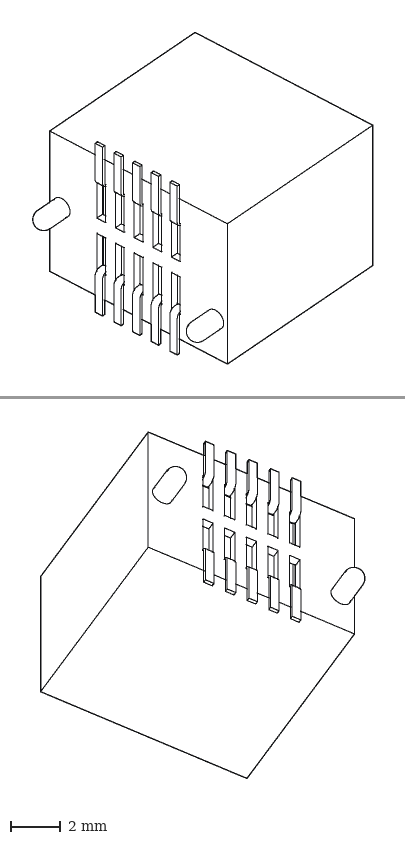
import cadquery as cq
import math

overall_depth = 10.44
overall_height = 8.48
housing_width = 9.54
housing_depth = 8.9
housing_height = 7.05

peg_radius = 0.45
peg_length = overall_depth - housing_depth
peg_spacing = 8.25
peg_drop = 1.58
peg_centres = [(-peg_spacing / 2, 0), (peg_spacing / 2, -peg_drop)]

contacts_per_row = 5
contact_pitch = 1.0
contact_width = 0.4
contact_thickness = 0.15
contact_bend_radius = 0.3
contact_tip_height = overall_height / 2
contact_bend_start = 2.43

slot_width = 0.47
slot_depth = 0.35
slot_inner_height = 0.39
slot_outer_height = contact_bend_start - contact_bend_radius + contact_thickness

recess_width = (contacts_per_row - 1) * contact_pitch + contact_width
recess_depth = 0.15

contact_positions = [
    (index - (contacts_per_row - 1) / 2) * contact_pitch for index in range(contacts_per_row)
]


def box_between(width, y_start, y_end, z_start, z_end):
    """Box centred on X that spans the given Y and Z ranges."""
    return (
        cq.Workplane("XY")
        .box(width, y_end - y_start, z_end - z_start, centered=(True, False, False))
        .translate((0, y_start, z_start))
    )


def make_contact():
    """Upper contact on X = 0: a lead along the mounting face that bends into its slot."""
    outer_y = -contact_thickness
    bend_centre_y = outer_y + contact_bend_radius
    inner_radius = contact_bend_radius - contact_thickness
    leg_bottom = contact_bend_start - contact_bend_radius
    leg_top = leg_bottom + contact_thickness
    diagonal = math.sqrt(0.5)

    def bend_middle(radius):
        return (bend_centre_y - radius * diagonal, contact_bend_start - radius * diagonal)

    return (
        cq.Workplane("YZ")
        .moveTo(0, contact_tip_height)
        .lineTo(outer_y, contact_tip_height)
        .lineTo(outer_y, contact_bend_start)
        .threePointArc(bend_middle(contact_bend_radius), (bend_centre_y, leg_bottom))
        .lineTo(slot_depth, leg_bottom)
        .lineTo(slot_depth, leg_top)
        .lineTo(bend_centre_y, leg_top)
        .threePointArc(bend_middle(inner_radius), (0, contact_bend_start))
        .close()
        .extrude(contact_width / 2, both=True)
    )


def make_peg(x, z):
    """Peg that stands on the mounting face and points toward -Y."""
    shank_length = peg_length - peg_radius
    shank = cq.Workplane("XZ").circle(peg_radius).extrude(shank_length)
    tip = cq.Workplane("XY").sphere(peg_radius).translate((0, -shank_length, 0))
    return shank.union(tip).translate((x, 0, z))


def both_rows(upper):
    """Upper feature together with its mirror image below the plane Z = 0."""
    return [upper, upper.mirror("XY")]


housing = box_between(housing_width, 0, housing_depth, -housing_height / 2, housing_height / 2)
recess = box_between(
    recess_width, slot_depth, slot_depth + recess_depth, -slot_outer_height, slot_outer_height
)
result = housing.cut(recess)

slot = box_between(slot_width, 0, slot_depth, slot_inner_height, slot_outer_height)
contact = make_contact()
for x in contact_positions:
    for row_slot in both_rows(slot):
        result = result.cut(row_slot.translate((x, 0, 0)))
    for row_contact in both_rows(contact):
        result = result.union(row_contact.translate((x, 0, 0)))

for peg_x, peg_z in peg_centres:
    result = result.union(make_peg(peg_x, peg_z))